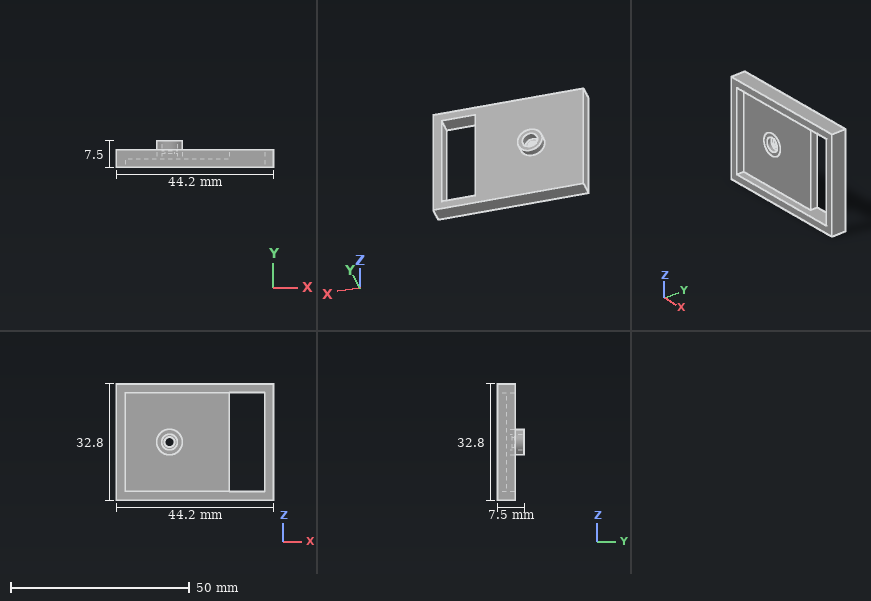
import cadquery as cq

frame_length = 44.2
frame_height = 32.75
frame_depth = 5.0
wall = 2.5
plate_recess = frame_depth / 2
window_width = 9.85

bushing_diameter = 7.2
bushing_x = 15.0
bushing_projection = 2.5
bore_diameter = 2.8
counterbore_diameter = 4.4
front_counterbore_depth = 1.5
rear_counterbore_depth = 2.8

opening_length = frame_length - 2 * wall
opening_height = frame_height - 2 * wall
plate_length = opening_length - window_width
plate_thickness = frame_depth - plate_recess
bushing_length = plate_thickness + bushing_projection


def block(x_start, y_start, length, depth, height):
    """Box running along +X and +Y from its start, centred on Z = 0."""
    return (
        cq.Workplane("XY")
        .box(length, depth, height, centered=(False, False, True))
        .translate((x_start, y_start, 0))
    )


def bushing_cylinder(diameter, length):
    """Cylinder on the bushing axis, running back from the front of the plate."""
    return (
        cq.Workplane("XZ", origin=(bushing_x, plate_recess, 0))
        .circle(diameter / 2)
        .extrude(-length)
    )


def make_housing():
    frame = block(0, 0, frame_length, frame_depth, frame_height)
    opening = block(wall, 0, opening_length, frame_depth, opening_height)
    plate = block(wall, plate_recess, plate_length, plate_thickness, opening_height)
    bushing_seat = bushing_cylinder(bushing_diameter, plate_thickness)
    return frame.cut(opening).union(plate).cut(bushing_seat)


def make_bushing():
    body = bushing_cylinder(bushing_diameter, bushing_length)
    bore = bushing_cylinder(bore_diameter, bushing_length)
    front_counterbore = bushing_cylinder(counterbore_diameter, front_counterbore_depth)
    rear_counterbore = bushing_cylinder(counterbore_diameter, rear_counterbore_depth).translate(
        (0, bushing_length - rear_counterbore_depth, 0)
    )
    return body.cut(bore).cut(front_counterbore).cut(rear_counterbore)


housing = make_housing()
bushing = make_bushing()

result = cq.Compound.makeCompound([*housing.solids().vals(), *bushing.solids().vals()])